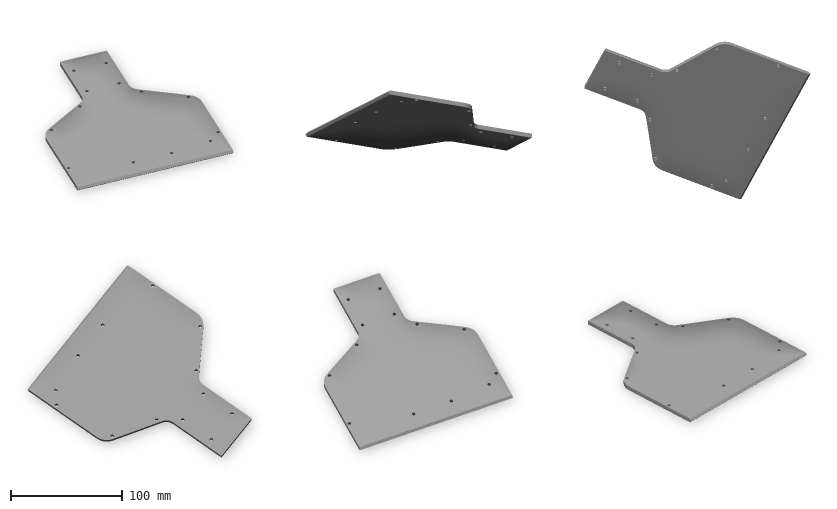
import cadquery as cq

length = 178.9
body_width = 150.0
neck_width = 45.5
thickness = 4.0

taper_start = 60.0
taper_end = 92.5
neck_fillet = 10.0
shoulder_radius = 15.0

edge_bevel = thickness / 2

hole_diameter = 3.2
mirrored_holes = [
    (16.8, 15.5),
    (48.8, 15.5),
    (67.6, 29.7),
    (90.2, 66.2),
    (148.1, 72.1),
]
single_holes = [
    (157.5, 61.2),
    (161.4, 22.2),
    (161.4, -14.8),
]


def make_plate():
    """Symmetric plate with rounded transitions between neck and body."""
    half_neck = neck_width / 2
    half_body = body_width / 2
    upper_side = [
        (0, half_neck),
        (taper_start, half_neck),
        (taper_end, half_body),
        (length, half_body),
    ]
    lower_side = [(x, -y) for x, y in reversed(upper_side)]
    plate = cq.Workplane("XY").polyline(upper_side + lower_side).close().extrude(thickness)
    for x, y, radius in [
        (taper_start, half_neck, neck_fillet),
        (taper_end, half_body, shoulder_radius),
    ]:
        for side in (1, -1):
            corner = cq.selectors.NearestToPointSelector((x, side * y, thickness / 2))
            plate = plate.edges("|Z").edges(corner).fillet(radius)
    return plate


def make_bevel_cutter():
    """Triangular prism that bevels the top of the +X edge."""
    return (
        cq.Workplane("XZ")
        .moveTo(length - edge_bevel, thickness)
        .lineTo(length, thickness)
        .lineTo(length, thickness - edge_bevel)
        .close()
        .extrude(body_width / 2, both=True)
    )


def make_holes():
    """Cylinders for all the through holes."""
    opposite_holes = [(x, -y) for x, y in mirrored_holes]
    return (
        cq.Workplane("XY")
        .pushPoints(mirrored_holes + opposite_holes + single_holes)
        .circle(hole_diameter / 2)
        .extrude(thickness)
    )


top_bevel = make_bevel_cutter()
bottom_bevel = top_bevel.mirror("XY", (0, 0, thickness / 2))
result = make_plate().cut(top_bevel).cut(bottom_bevel).cut(make_holes())